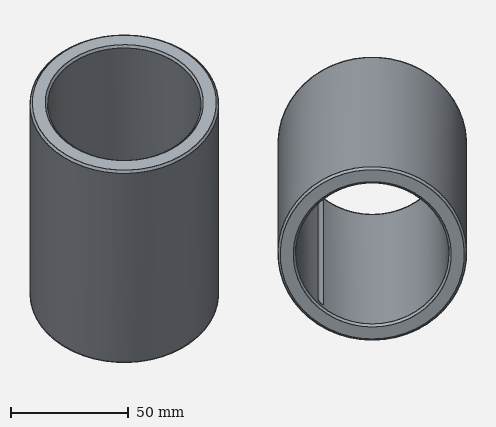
import cadquery as cq

length = 120.0
outer_diameter = 80.0
bore_diameter = 65.0
chamfer = 1.0
groove_width = 3.0
groove_end_margin = 5.0

bore_radius = bore_diameter / 2
groove_length = length - 2 * groove_end_margin

sleeve = (
    cq.Workplane("XY")
    .circle(outer_diameter / 2)
    .circle(bore_radius)
    .extrude(length)
)

sleeve = sleeve.faces("<Z or >Z").edges().chamfer(chamfer)

groove_radius = groove_width / 2
groove = (
    cq.Workplane("XY", origin=(bore_radius, 0, groove_end_margin))
    .circle(groove_radius)
    .extrude(groove_length)
)
for end_height in (groove_end_margin, length - groove_end_margin):
    ball = cq.Workplane("XY", origin=(bore_radius, 0, end_height)).sphere(groove_radius)
    groove = groove.union(ball)

result = sleeve.cut(groove)